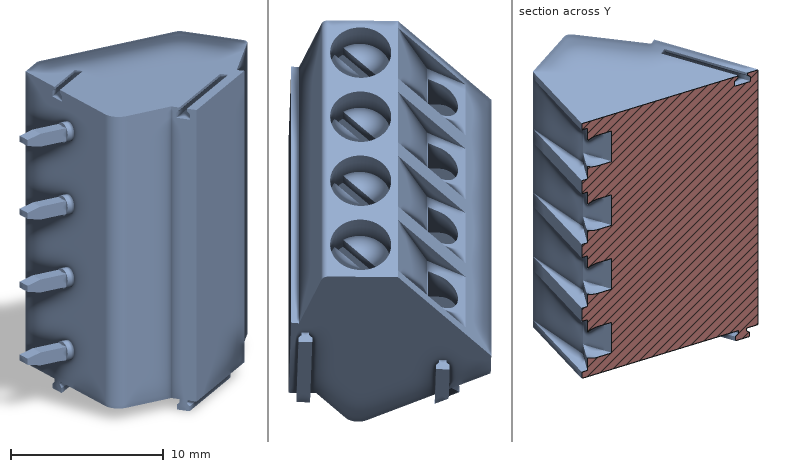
import cadquery as cq
import math


pole_count = 4
pitch = 5.08
body_height = pole_count * pitch
tilt = math.radians(35)

overall_width = 13.4
left_face_top = 12.64
ridge = (4.02, 15.43)
ridge_radius = 0.5
flank_top = (8.36, 11.8)
flange_tip_y = 5.49
flange_length = 8.12
flange_lip = 1.8
corner_radius = 1.0
chamfer_y = 1.66
chamfer_x = chamfer_y * math.tan(tilt)

well_diameter = 4.0
well_depth = 1.9
well_offset = 2.44
slot_width = 0.8
slot_depth = 0.8
slot_angle = 45

pocket_height = 4.0
pocket_bottom_y = 4.69
pocket_apex = (1.05, 7.66)
wire_hole_width = 2.4
wire_hole_rise = 2.0
wire_hole_depth = 3.0
wire_hole_lip = 0.06

pin_x = 6.43
collar_diameter = 1.34
collar_length = 0.5
pin_width = 0.96
pin_thickness = 0.9
pin_reach = 3.5
pin_taper_length = 1.0
pin_tip_thickness = 0.42

rail_neck_width = 0.5
rail_foot_width = 0.9
rail_neck_height = 0.2
rail_foot_height = 0.34
groove_neck_width = 0.55
groove_foot_width = 0.95
groove_neck_depth = 0.18
groove_foot_depth = 0.36
dovetail_rise = 0.2
flange_rail_inset = 0.95
flange_rail_length = 7.0
pin_face_rail_x = 5.02
pin_face_rail_length = 3.7

along_entry = (math.cos(tilt), math.sin(tilt))
along_flange = (-math.sin(tilt), math.cos(tilt))

pole_heights = [(pole + 0.5) * pitch for pole in range(pole_count)]


def step(point, direction, distance):
    """Point reached by moving a distance from a point in the XY plane."""
    return (point[0] + direction[0] * distance, point[1] + direction[1] * distance)


flange_tip = (overall_width, flange_tip_y)
flange_top = step(flange_tip, along_flange, flange_length)
flange_root = step(flange_tip, along_entry, -flange_lip)


def make_body():
    """Body profile along Z, with the ridge and the pin-side corner rounded."""
    outline = [
        (chamfer_x, 0),
        (flange_root[0], 0),
        flange_root,
        flange_tip,
        flange_top,
        flank_top,
        ridge,
        (0, left_face_top),
        (0, chamfer_y),
    ]
    body = cq.Workplane("XY").polyline(outline).close().extrude(body_height)
    body = body.edges(cq.selectors.NearestToPointSelector((*ridge, body_height / 2))).fillet(ridge_radius)
    pin_corner = (flange_root[0], 0, body_height / 2)
    return body.edges(cq.selectors.NearestToPointSelector(pin_corner)).fillet(corner_radius)


def make_screw_well(z):
    """Round well square to the entry face, with a screwdriver slot in its floor."""
    centre = step((0, left_face_top), along_entry, well_offset)
    entry_plane = cq.Plane(
        origin=(*centre, z), xDir=(*along_entry, 0), normal=(*along_flange, 0)
    )
    slot_plane = cq.Workplane(entry_plane).workplane(offset=-well_depth)
    slot = (
        slot_plane
        .transformed(rotate=(0, 0, -slot_angle))
        .rect(2 * well_diameter, slot_width)
        .extrude(-slot_depth)
    )
    slot_bounds = slot_plane.circle(well_diameter / 2).extrude(-slot_depth)
    well = cq.Workplane(entry_plane).circle(well_diameter / 2).extrude(-well_depth)
    return well.union(slot.intersect(slot_bounds))


def make_wire_pocket(z):
    """Wedge sunk into the left face, with a round-crowned wire hole beyond its apex."""
    wedge = (
        cq.Workplane("XY", origin=(0, 0, z))
        .polyline([(0, pocket_bottom_y), pocket_apex, (0, left_face_top)])
        .close()
        .extrude(pocket_height / 2, both=True)
    )
    floor_start = step(pocket_apex, along_entry, -wire_hole_lip)
    hole_plane = cq.Plane(
        origin=(*floor_start, z),
        xDir=(-along_entry[0], -along_entry[1], 0),
        normal=(*along_flange, 0),
    )
    half_width = wire_hole_width / 2
    straight_rise = wire_hole_rise - half_width
    hole = (
        cq.Workplane(hole_plane)
        .moveTo(0, -half_width)
        .lineTo(straight_rise, -half_width)
        .threePointArc((wire_hole_rise, 0), (straight_rise, half_width))
        .lineTo(0, half_width)
        .close()
        .extrude(-wire_hole_depth)
    )
    return wedge.union(hole)


def make_pin(z):
    """Round collar carrying a flat pin that tapers in thickness to its tip."""
    collar = (
        cq.Workplane("XZ", origin=(pin_x, 0, z))
        .circle(collar_diameter / 2)
        .extrude(collar_length)
    )
    taper_start = pin_taper_length - pin_reach
    half_thickness = pin_thickness / 2
    half_tip = pin_tip_thickness / 2
    blade = (
        cq.Workplane("YZ", origin=(pin_x, 0, z))
        .polyline([
            (0, -half_thickness),
            (taper_start, -half_thickness),
            (-pin_reach, -half_tip),
            (-pin_reach, half_tip),
            (taper_start, half_thickness),
            (0, half_thickness),
        ])
        .close()
        .extrude(pin_width / 2, both=True)
    )
    return collar.union(blade)


def make_dovetail(start, length, overrun, z, neck, foot, neck_height, foot_height):
    """Dovetail bar hanging below z, running up the flange direction from start.

    It begins an overrun before start, so that the body side it leaves through can trim it.
    """
    first = step(start, along_flange, -overrun)
    plane = cq.Plane(origin=(*first, z), xDir=(*along_entry, 0), normal=(*along_flange, 0))
    taper_end = neck_height + dovetail_rise
    bottom = taper_end + foot_height
    return (
        cq.Workplane(plane)
        .polyline([
            (-neck / 2, 0),
            (neck / 2, 0),
            (neck / 2, neck_height),
            (foot / 2, taper_end),
            (foot / 2, bottom),
            (-foot / 2, bottom),
            (-foot / 2, taper_end),
            (-neck / 2, neck_height),
        ])
        .close()
        .extrude(length + overrun)
    )


def make_dovetail_pair(z, neck, foot, neck_height, foot_height):
    """Bars by the flange and by the pin face, the latter trimmed flush with Y = 0."""
    section = (neck, foot, neck_height, foot_height)
    flange_start = step(flange_tip, along_entry, -flange_rail_inset)
    by_flange = make_dovetail(flange_start, flange_rail_length, 0, z, *section)
    by_pins = make_dovetail((pin_face_rail_x, 0), pin_face_rail_length, foot, z, *section)
    trim_size = 4 * pin_face_rail_length
    trim = (
        cq.Workplane("XY", origin=(pin_face_rail_x, -trim_size / 2, z))
        .box(trim_size, trim_size, trim_size)
    )
    return by_flange.union(by_pins.cut(trim))


result = make_body()
for height in pole_heights:
    result = result.cut(make_screw_well(height))
    result = result.cut(make_wire_pocket(height))
    result = result.union(make_pin(height))

grooves = make_dovetail_pair(
    body_height, groove_neck_width, groove_foot_width, groove_neck_depth, groove_foot_depth
)
rails = make_dovetail_pair(
    0, rail_neck_width, rail_foot_width, rail_neck_height, rail_foot_height
)
result = result.cut(grooves).union(rails)